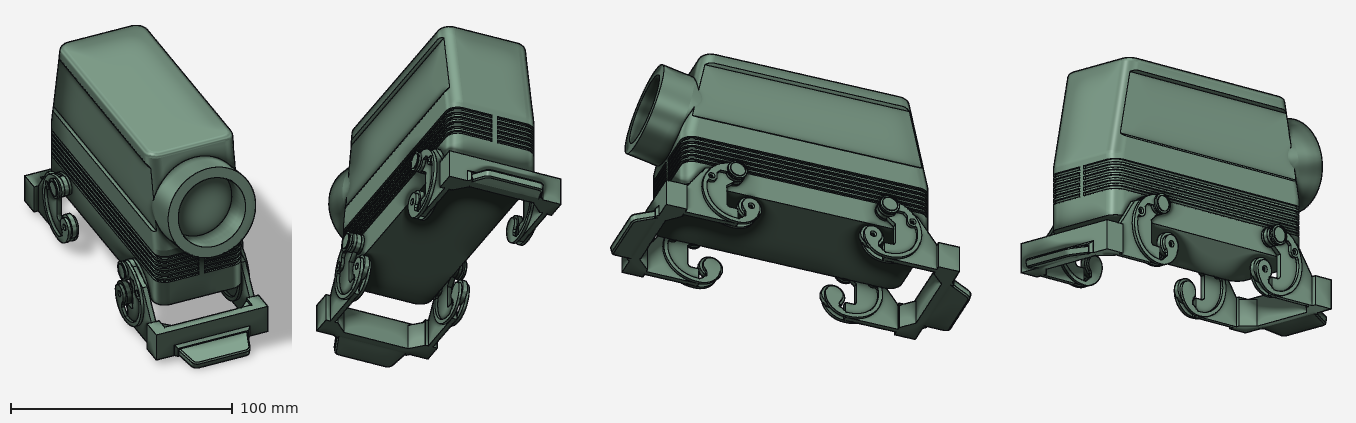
import cadquery as cq
import math


NEARLY_FULL = 0.99

HOOD_HALF_LENGTH = 60.0
HOOD_WIDTH = 43.5
HOOD_HALF_WIDTH = HOOD_WIDTH / 2
HOOD_BOTTOM = 20.1
HOOD_TOP = 96.4
KNEE_HEIGHT = 49.9
KNEE_RADIUS = 7.5
END_TILT = 11.5
CORNER_RADIUS = 6.0
TOP_RADIUS = 2.5

RECESS_BOTTOM = 57.8
RECESS_TOP = 90.1
RECESS_DEPTH = 1.2

GROOVE_COUNT = 6
GROOVE_TOP = 46.5
GROOVE_PITCH = 2.51
GROOVE_WIDTH = 1.5
GROOVE_DEPTH = 1.0
END_RIB_WIDTH = 2.8

ENTRY_RADIUS = HOOD_HALF_WIDTH
ENTRY_BORE_RADIUS = 16.7
ENTRY_HEIGHT = 69.5
ENTRY_LENGTH = 15.2
ENTRY_ROOT_LENGTH = 5.3
ENTRY_ROOT_RADIUS = HOOD_HALF_WIDTH - RECESS_DEPTH

FRAME_OUTER_X = -71.0
FRAME_ARM_END_X = -61.0
FRAME_HEIGHT = 13.7
FRAME_HALF_WIDTH = 27.7
CROSSBAR_THICKNESS = 4.1
GUSSET_SIZE = 5.8
GUSSET_DROP = 1.2

TAB_TILT = 14.5
TAB_LENGTH = 11.0
TAB_THICKNESS = 4.0
TAB_BURIED_LENGTH = 1.7
TAB_ROOT_HALF_WIDTH = 17.3
TAB_TIP_HALF_WIDTH = 13.9
TAB_CORNER_RADIUS = 3.0
TAB_EDGE_CHAMFER = 0.7
TAB_FLARE_HALF_WIDTH = 18.8
TAB_FLARE_HEIGHT = 5.6
TAB_FLARE = 1.3

CHEEK_INNER_Y = 22.0
PLATE_INNER_Y = 23.3
PLATE_OUTER_Y = 25.6
CHEEK_OUTER_Y = 27.0

HOOK_RADIUS = 16.2
HOOK_INNER_RADIUS = 14.2
PIN_X = -36.8
PIN_Z = 27.9
HUB_RADIUS = 2 * HOOK_RADIUS - PIN_Z
HUB_FLAT_Z = 26.7
HUB_BEVEL = 1.7
RIVET_X = -48.7
RIVET_Z = 22.6
RIVET_BOSS_RADIUS = 2.6
WAIST_DROP = 3.3
RIVET_HOLE_RADIUS = 0.8
RIVET_SINK_RADIUS = 1.5

KNOB_X = -29.5
KNOB_Z = 10.7
KNOB_RADIUS = 4.3
KNOB_DISC_RADIUS = 5.6
HOOK_TIP_RADIUS = KNOB_Z
HOOK_THROAT_X = -32.0
HOOK_THROAT_TOP = 6.3
HOOK_THROAT_BOTTOM = 4.8

SHOULDER_X = -51.5
SHOULDER_Z = 26.9
SHOULDER_LENGTH = 3.1
SHOULDER_RISE = 1.2

NOTCH_X = -40.8
NOTCH_TOP = 20.1
NOTCH_BOTTOM = 8.5
NOTCH_RADIUS = 1.7
PLATE_END_X = -35.5

PIN_RADIUS = 2.6
PIN_EMBED = 1.7
PIN_HEAD_RADIUS = 4.6
PIN_HEAD_INNER_Y = 28.0
PIN_CROWN_RADIUS = 3.6
PIN_CROWN_INNER_Y = 29.0
PIN_OUTER_Y = 29.47


def along_y(y_start, y_end):
    """Return an XZ sketch plane at y_start and the extrusion that reaches y_end."""
    return cq.Workplane("XZ", origin=(0, y_start, 0)), y_start - y_end


def disc(x, z, radius, y_start, y_end):
    plane, depth = along_y(y_start, y_end)
    return plane.center(x, z).circle(radius).extrude(depth)


def make_hood():
    tilt = math.tan(math.radians(END_TILT))
    top_half_length = HOOD_HALF_LENGTH - (HOOD_TOP - KNEE_HEIGHT) * tilt
    plane, depth = along_y(-HOOD_HALF_WIDTH, HOOD_HALF_WIDTH)
    body = (
        plane.moveTo(-HOOD_HALF_LENGTH, HOOD_BOTTOM)
        .lineTo(-HOOD_HALF_LENGTH, KNEE_HEIGHT)
        .lineTo(-top_half_length, HOOD_TOP)
        .lineTo(top_half_length, HOOD_TOP)
        .lineTo(HOOD_HALF_LENGTH, KNEE_HEIGHT)
        .lineTo(HOOD_HALF_LENGTH, HOOD_BOTTOM)
        .close()
        .extrude(depth)
    )
    knees = cq.selectors.BoxSelector(
        (-HOOD_HALF_LENGTH, -HOOD_HALF_WIDTH, KNEE_HEIGHT - CORNER_RADIUS),
        (HOOD_HALF_LENGTH, HOOD_HALF_WIDTH, KNEE_HEIGHT + CORNER_RADIUS),
    )
    body = body.edges("|Y").edges(knees).fillet(KNEE_RADIUS)
    body = body.faces("<Y or >Y").edges("not |X").fillet(CORNER_RADIUS)
    return body.faces(">Z").edges().fillet(TOP_RADIUS)


def make_side_recess():
    """Full-length recess on the +Y side, with 45-degree upper and lower walls."""
    floor_y = HOOD_HALF_WIDTH - RECESS_DEPTH
    return (
        cq.Workplane("YZ", origin=(-HOOD_HALF_LENGTH, 0, 0))
        .moveTo(HOOD_HALF_WIDTH, RECESS_BOTTOM)
        .lineTo(floor_y, RECESS_BOTTOM + RECESS_DEPTH)
        .lineTo(floor_y, RECESS_TOP - RECESS_DEPTH)
        .lineTo(HOOD_HALF_WIDTH, RECESS_TOP)
        .close()
        .extrude(2 * HOOD_HALF_LENGTH)
    )


def make_groove(top):
    """Cutter for one groove around the skirt, leaving the end ribs standing."""
    length = 2 * HOOD_HALF_LENGTH
    width = HOOD_WIDTH
    plane = cq.Workplane("XY", origin=(0, 0, top - GROOVE_WIDTH))
    core = (
        plane.rect(length - 2 * GROOVE_DEPTH, width - 2 * GROOVE_DEPTH)
        .extrude(GROOVE_WIDTH)
        .edges("|Z")
        .fillet(CORNER_RADIUS - GROOVE_DEPTH)
    )
    rib = plane.rect(length, END_RIB_WIDTH).extrude(GROOVE_WIDTH)
    return plane.rect(length, width).extrude(GROOVE_WIDTH).cut(core).cut(rib)


def make_cable_entry():
    """Return the tilted round entry and its bore."""
    tilt = math.radians(END_TILT)
    face_x = HOOD_HALF_LENGTH - (ENTRY_HEIGHT - KNEE_HEIGHT) * math.tan(tilt)
    plane = cq.Plane(
        origin=(face_x, 0, ENTRY_HEIGHT),
        xDir=(0, 1, 0),
        normal=(math.cos(tilt), 0, math.sin(tilt)),
    )
    collar = cq.Workplane(plane).circle(ENTRY_RADIUS).extrude(ENTRY_LENGTH)
    root = (
        cq.Workplane(plane)
        .circle(ENTRY_RADIUS)
        .workplane(offset=-ENTRY_ROOT_LENGTH)
        .circle(ENTRY_ROOT_RADIUS)
        .loft()
    )
    bore = cq.Workplane(plane).circle(ENTRY_BORE_RADIUS).extrude(ENTRY_LENGTH)
    return collar.union(root), bore


def make_frame():
    """U-shaped frame at the -X end, with gussets in its inner corners."""
    arm_inner_y = HOOD_HALF_WIDTH
    bar_inner_x = FRAME_OUTER_X + CROSSBAR_THICKNESS
    frame = (
        cq.Workplane("XY")
        .moveTo(FRAME_OUTER_X, -FRAME_HALF_WIDTH)
        .lineTo(FRAME_ARM_END_X, -FRAME_HALF_WIDTH)
        .lineTo(FRAME_ARM_END_X, -arm_inner_y)
        .lineTo(bar_inner_x, -arm_inner_y)
        .lineTo(bar_inner_x, arm_inner_y)
        .lineTo(FRAME_ARM_END_X, arm_inner_y)
        .lineTo(FRAME_ARM_END_X, FRAME_HALF_WIDTH)
        .lineTo(FRAME_OUTER_X, FRAME_HALF_WIDTH)
        .close()
        .extrude(FRAME_HEIGHT)
    )
    for side in (-1, 1):
        corner_y = side * arm_inner_y
        gusset = (
            cq.Workplane("XY")
            .moveTo(bar_inner_x, corner_y)
            .lineTo(bar_inner_x + GUSSET_SIZE, corner_y)
            .lineTo(bar_inner_x, corner_y - side * GUSSET_SIZE)
            .close()
            .extrude(FRAME_HEIGHT - GUSSET_DROP)
        )
        frame = frame.union(gusset)
    return frame


def make_thumb_tab():
    """Tab sloping down and outwards from the crossbar, on a flared foot."""
    tilt = math.radians(TAB_TILT)
    plane = cq.Plane(
        origin=(FRAME_OUTER_X, 0, 0),
        xDir=(-math.cos(tilt), 0, -math.sin(tilt)),
        normal=(-math.sin(tilt), 0, math.cos(tilt)),
    )
    slant = (TAB_ROOT_HALF_WIDTH - TAB_TIP_HALF_WIDTH) / TAB_LENGTH
    buried_half_width = TAB_ROOT_HALF_WIDTH + slant * TAB_BURIED_LENGTH
    broad = cq.selectors.ParallelDirSelector(plane.zDir)
    tip_corners = cq.selectors.BoxSelector(
        (FRAME_OUTER_X - 2 * TAB_LENGTH, -FRAME_HALF_WIDTH, -TAB_LENGTH),
        (FRAME_OUTER_X - TAB_LENGTH / 2, FRAME_HALF_WIDTH, TAB_LENGTH),
    )
    tab = (
        cq.Workplane(plane)
        .moveTo(-TAB_BURIED_LENGTH, -buried_half_width)
        .lineTo(TAB_LENGTH, -TAB_TIP_HALF_WIDTH)
        .lineTo(TAB_LENGTH, TAB_TIP_HALF_WIDTH)
        .lineTo(-TAB_BURIED_LENGTH, buried_half_width)
        .close()
        .extrude(TAB_THICKNESS)
        .edges(broad)
        .edges(tip_corners)
        .fillet(TAB_CORNER_RADIUS)
        .faces(broad)
        .edges()
        .chamfer(TAB_EDGE_CHAMFER)
    )
    flare = (
        cq.Workplane("YZ", origin=(FRAME_OUTER_X, 0, TAB_FLARE_HEIGHT / 2))
        .rect(2 * TAB_FLARE_HALF_WIDTH, TAB_FLARE_HEIGHT)
        .extrude(-TAB_FLARE)
        .faces("<X")
        .edges("|Z or >Z")
        .chamfer(TAB_FLARE * NEARLY_FULL)
    )
    return tab.union(flare)


def make_cheek(y_start, y_end):
    """C-shaped hook that runs from the pivot hub round to the knob."""
    diagonal = math.sqrt(0.5)
    tip_center_x = KNOB_X + KNOB_RADIUS - HOOK_TIP_RADIUS
    rivet_edge_x = RIVET_X + RIVET_BOSS_RADIUS
    waist_z = RIVET_Z - WAIST_DROP
    waist_x = PIN_X - math.sqrt(HOOK_INNER_RADIUS**2 - (waist_z - HOOK_RADIUS) ** 2)
    floor_z = HOOK_RADIUS - HOOK_INNER_RADIUS
    plane, depth = along_y(y_start, y_end)
    hook = (
        plane.moveTo(PIN_X, 2 * HOOK_RADIUS)
        .threePointArc((PIN_X - HOOK_RADIUS, HOOK_RADIUS), (PIN_X, 0))
        .lineTo(tip_center_x, 0)
        .threePointArc(
            (tip_center_x + HOOK_TIP_RADIUS * diagonal, KNOB_Z - HOOK_TIP_RADIUS * diagonal),
            (KNOB_X + KNOB_RADIUS, KNOB_Z),
        )
        .lineTo(KNOB_X - KNOB_RADIUS * diagonal, KNOB_Z - KNOB_RADIUS * diagonal)
        .lineTo(HOOK_THROAT_X, HOOK_THROAT_TOP)
        .lineTo(HOOK_THROAT_X, HOOK_THROAT_BOTTOM)
        .lineTo(PLATE_END_X, floor_z)
        .lineTo(PIN_X, floor_z)
        .threePointArc(
            (PIN_X - HOOK_INNER_RADIUS * diagonal, HOOK_RADIUS - HOOK_INNER_RADIUS * diagonal),
            (waist_x, waist_z),
        )
        .lineTo(RIVET_X, RIVET_Z)
        .lineTo(rivet_edge_x, RIVET_Z)
        .lineTo(rivet_edge_x, HUB_FLAT_Z - HUB_BEVEL)
        .lineTo(rivet_edge_x + HUB_BEVEL, HUB_FLAT_Z)
        .lineTo(PIN_X, HUB_FLAT_Z)
        .close()
        .extrude(depth)
    )
    hook = hook.union(disc(PIN_X, PIN_Z, HUB_RADIUS, y_start, y_end))
    hook = hook.union(disc(KNOB_X, KNOB_Z, KNOB_RADIUS, y_start, y_end))
    return hook.union(disc(RIVET_X, RIVET_Z, RIVET_BOSS_RADIUS, y_start, y_end))


def make_plate():
    """Middle plate that joins the frame arm to the pivot."""
    plane, depth = along_y(PLATE_INNER_Y, PLATE_OUTER_Y)
    plate = (
        plane.moveTo(FRAME_ARM_END_X, 0)
        .lineTo(FRAME_ARM_END_X, FRAME_HEIGHT)
        .lineTo(SHOULDER_X, SHOULDER_Z)
        .lineTo(SHOULDER_X + SHOULDER_LENGTH, SHOULDER_Z + SHOULDER_RISE)
        .lineTo(PIN_X, PIN_Z + HUB_RADIUS)
        .lineTo(PIN_X, PIN_Z - HUB_RADIUS)
        .lineTo(NOTCH_X, NOTCH_TOP)
        .lineTo(NOTCH_X, NOTCH_BOTTOM + NOTCH_RADIUS)
        .radiusArc((NOTCH_X + NOTCH_RADIUS, NOTCH_BOTTOM), -NOTCH_RADIUS)
        .lineTo(PLATE_END_X, NOTCH_BOTTOM)
        .lineTo(PLATE_END_X, 0)
        .close()
        .extrude(depth)
    )
    return plate.union(disc(PIN_X, PIN_Z, PIN_HEAD_RADIUS, PLATE_INNER_Y, PLATE_OUTER_Y))


def make_pin():
    pin = disc(PIN_X, PIN_Z, PIN_RADIUS, HOOD_HALF_WIDTH - PIN_EMBED, PIN_OUTER_Y)
    pin = pin.union(disc(PIN_X, PIN_Z, PIN_HEAD_RADIUS, PIN_HEAD_INNER_Y, PIN_CROWN_INNER_Y))
    return pin.union(disc(PIN_X, PIN_Z, PIN_CROWN_RADIUS, PIN_CROWN_INNER_Y, PIN_OUTER_Y))


def make_rivet_hole(x, z):
    """Countersunk blind hole in the outer cheek."""
    sink_depth = RIVET_SINK_RADIUS - RIVET_HOLE_RADIUS
    hole = disc(x, z, RIVET_HOLE_RADIUS, PLATE_OUTER_Y, CHEEK_OUTER_Y)
    sink = disc(x, z, RIVET_SINK_RADIUS, CHEEK_OUTER_Y - sink_depth, CHEEK_OUTER_Y)
    return hole.union(sink.faces("<Y").chamfer(sink_depth * NEARLY_FULL))


def make_lever_side():
    side = make_plate()
    side = side.union(make_cheek(CHEEK_INNER_Y, PLATE_INNER_Y))
    side = side.union(make_cheek(PLATE_OUTER_Y, CHEEK_OUTER_Y))
    side = side.union(disc(KNOB_X, KNOB_Z, KNOB_DISC_RADIUS, PLATE_INNER_Y, PLATE_OUTER_Y))
    for x, z in ((RIVET_X, RIVET_Z), (KNOB_X, KNOB_Z)):
        side = side.cut(make_rivet_hole(x, z))
    return side.union(make_pin())


def make_lever():
    side = make_lever_side()
    return make_frame().union(make_thumb_tab()).union(side).union(side.mirror("XZ"))


hood = make_hood()
recess = make_side_recess()
hood = hood.cut(recess).cut(recess.mirror("XZ"))
for index in range(GROOVE_COUNT):
    hood = hood.cut(make_groove(GROOVE_TOP - index * GROOVE_PITCH))

entry, entry_bore = make_cable_entry()
hood = hood.union(entry).cut(entry_bore)

lever = make_lever()
result = hood.union(lever).union(lever.mirror("YZ"))